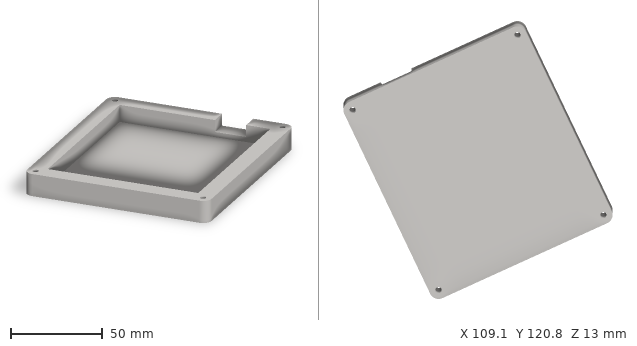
import cadquery as cq

length_x = 109.1
length_y = 120.8
height = 13.0
corner_radius = 5.0

wall = 10.0
floor_thickness = 3.0
pocket_x = length_x - 2 * wall
pocket_y = length_y - 2 * wall

hole_diameter = 3.4
hole_inset = corner_radius

notch_width = 18.5
notch_center_x = 21.0
notch_depth = 7.0


def make_block():
    block = cq.Workplane("XY").box(length_x, length_y, height, centered=(True, True, False))
    return block.edges("|Z").fillet(corner_radius)


def make_pocket():
    pocket = cq.Workplane("XY").box(pocket_x, pocket_y, height, centered=(True, True, False))
    return pocket.translate((0, 0, floor_thickness))


def make_screw_holes():
    spacing_x = length_x - 2 * hole_inset
    spacing_y = length_y - 2 * hole_inset
    corners = cq.Workplane("XY").rect(spacing_x, spacing_y, forConstruction=True).vertices()
    return corners.circle(hole_diameter / 2).extrude(height)


def make_notch():
    notch = cq.Workplane("XY").box(notch_width, wall, notch_depth, centered=(True, True, False))
    return notch.translate((notch_center_x, (length_y - wall) / 2, height - notch_depth))


result = make_block().cut(make_pocket()).cut(make_screw_holes()).cut(make_notch())